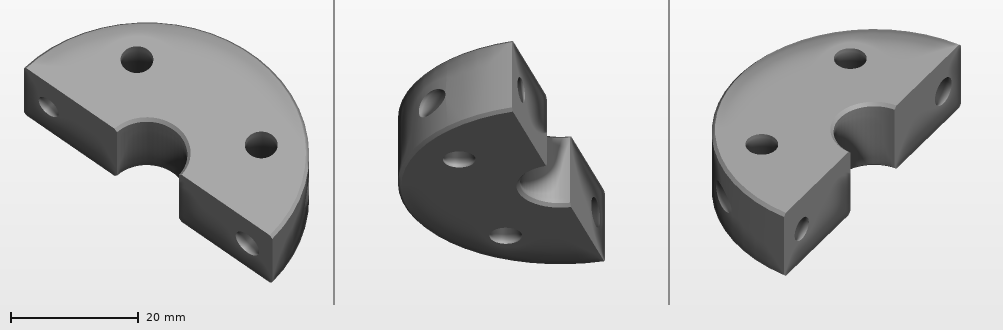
import cadquery as cq

outer_diameter = 50.8
bore_diameter = 12.7
thickness = 12.7
edge_chamfer = 0.5
split_offset = 0.3

mount_hole_diameter = 5.15
mount_hole_x = 12.7
mount_hole_y = 12.7

clamp_hole_x = 20.3
tapped_hole_diameter = 4.05
clearance_hole_diameter = 4.85


def chamfered_ring():
    """Full ring with its outer and bore edges chamfered on both faces."""
    ring = (
        cq.Workplane("XY")
        .circle(outer_diameter / 2)
        .circle(bore_diameter / 2)
        .extrude(thickness / 2, both=True)
    )
    return ring.edges("%CIRCLE").chamfer(edge_chamfer)


def split_half(ring):
    """Keep the part of the ring beyond the split face."""
    keep = cq.Workplane("XY").box(
        outer_diameter, outer_diameter, thickness, centered=(True, False, True)
    ).translate((0, split_offset, 0))
    return ring.intersect(keep)


def mount_holes():
    """Pair of holes through the thickness."""
    return (
        cq.Workplane("XY")
        .pushPoints([(-mount_hole_x, mount_hole_y), (mount_hole_x, mount_hole_y)])
        .circle(mount_hole_diameter / 2)
        .extrude(thickness, both=True)
    )


def clamp_hole(x, diameter):
    """Hole along Y, from the split face out through the rim."""
    return (
        cq.Workplane("XZ")
        .center(x, 0)
        .circle(diameter / 2)
        .extrude(-outer_diameter / 2)
    )


result = (
    split_half(chamfered_ring())
    .cut(mount_holes())
    .cut(clamp_hole(-clamp_hole_x, tapped_hole_diameter))
    .cut(clamp_hole(clamp_hole_x, clearance_hole_diameter))
)